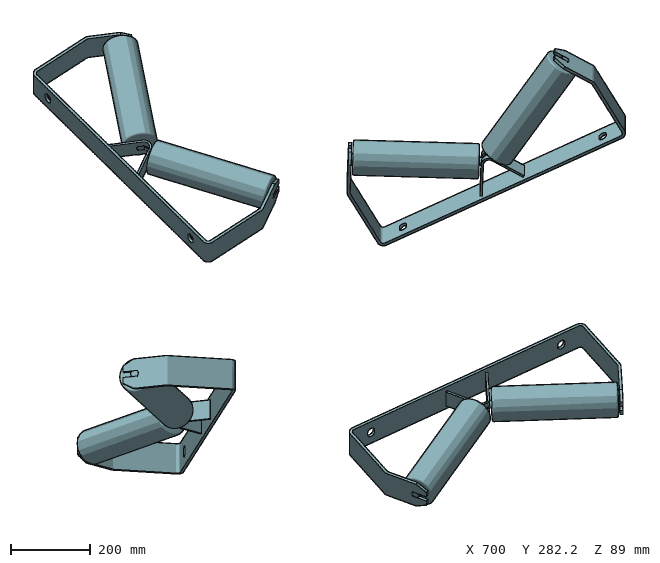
import cadquery as cq
import math


SLOPE = 30.0
LEAN_X = math.sin(math.radians(SLOPE))
LEAN_Y = math.cos(math.radians(SLOPE))
HALF_TURN = 180.0

FRAME_LENGTH = 700.0
FRAME_HEIGHT = 78.0
FRAME_THICKNESS = 8.0
FRAME_BEND_RADIUS = 8.5
ARM_BEND_Y = 178.5
ARM_TIP_Y = 278.0
TIP_CHAMFER_ALONG = 29.0
TIP_CHAMFER_ACROSS = 16.0
MOUNT_HOLE_SPACING = 565.5
MOUNT_HOLE_HEIGHT = 28.0
MOUNT_HOLE_WIDTH = 20.0

BRACKET_HEIGHT = 50.0
BRACKET_THICKNESS = 5.5
BRACKET_BEND_RADIUS = 14.0
BRACKET_PEAK_Y = 119.0

ROLLER_DIAMETER = 89.0
ROLLER_LENGTH = 316.0
ROLLER_EDGE_RADIUS = 5.0
ROLLER_X = 161.0
ROLLER_Y = 166.5
SHAFT_DIAMETER = 20.0
SHAFT_FLAT_WIDTH = 15.0

FRAME_HALF = FRAME_LENGTH / 2
ARM_OUTER_FACE = (FRAME_HALF - ROLLER_X) * LEAN_Y + (ARM_BEND_Y - ROLLER_Y) * LEAN_X
ARM_INNER_FACE = ARM_OUTER_FACE - FRAME_THICKNESS
BRACKET_OUTER_FACE = -ROLLER_X * LEAN_Y + (BRACKET_PEAK_Y - ROLLER_Y) * LEAN_X
BRACKET_INNER_FACE = BRACKET_OUTER_FACE - BRACKET_THICKNESS


def bent_strip(outer, inner, outer_radius, inner_radius, height):
    """Strip between two matching outlines, rounded at every corner but its ends."""
    strip = cq.Workplane("XY").polyline(outer + inner[::-1]).close().extrude(height / 2, both=True)
    for outline, radius in ((outer, outer_radius), (inner, inner_radius)):
        for x, y in outline[1:-1]:
            strip = strip.edges(cq.selectors.NearestToPointSelector((x, y, 0))).fillet(radius)
    return strip


def at_roller(body, side):
    """Move a body from the X axis onto the roller axis on the given side."""
    if side < 0:
        body = body.rotate((0, 0, 0), (0, 1, 0), HALF_TURN)
    return body.rotate((0, 0, 0), (0, 0, 1), side * SLOPE).translate((side * ROLLER_X, ROLLER_Y, 0))


def flatted_bar(start, end):
    """Round bar along X with a flat on its top and bottom."""
    length = end - start
    bar = cq.Workplane("YZ").workplane(offset=start).circle(SHAFT_DIAMETER / 2).extrude(length)
    flats = cq.Workplane("YZ").workplane(offset=start).rect(SHAFT_DIAMETER, SHAFT_FLAT_WIDTH).extrude(length)
    return bar.intersect(flats)


def shaft_slot(start, end):
    """Slot that seats the flatted shaft and stays open toward the +Y end of its plate."""
    reach = ROLLER_DIAMETER / 2
    channel = (
        cq.Workplane("YZ").workplane(offset=start)
        .center(reach / 2, 0).rect(reach, SHAFT_FLAT_WIDTH).extrude(end - start)
    )
    return flatted_bar(start, end).union(channel)


def tip_chamfer_cutters(side):
    """Wedges that take the top and bottom corners off an arm tip."""
    tip = (ARM_TIP_Y - ROLLER_Y) / LEAN_Y - ARM_OUTER_FACE * LEAN_X / LEAN_Y
    corner_z = FRAME_HEIGHT / 2
    wedge = (
        cq.Workplane("YZ").workplane(offset=ARM_INNER_FACE)
        .moveTo(tip - TIP_CHAMFER_ALONG, corner_z)
        .lineTo(tip, corner_z - TIP_CHAMFER_ACROSS)
        .lineTo(tip, corner_z)
        .close().extrude(FRAME_THICKNESS)
    )
    return at_roller(wedge.union(wedge.mirror("XY")), side)


def make_frame():
    """Bent strip with a slotted arm at each end and two mounting holes in its back."""
    tip_x = FRAME_HALF - (ARM_TIP_Y - ARM_BEND_Y) * LEAN_X / LEAN_Y
    bend_miter = FRAME_THICKNESS * math.tan(math.radians(SLOPE / 2))
    right_outer = [(FRAME_HALF, 0), (FRAME_HALF, ARM_BEND_Y), (tip_x, ARM_TIP_Y)]
    right_inner = [
        (FRAME_HALF - FRAME_THICKNESS, FRAME_THICKNESS),
        (FRAME_HALF - FRAME_THICKNESS, ARM_BEND_Y - bend_miter),
        (tip_x - FRAME_THICKNESS * LEAN_Y, ARM_TIP_Y - FRAME_THICKNESS * LEAN_X),
    ]
    outer = [(-x, y) for x, y in right_outer[::-1]] + right_outer
    inner = [(-x, y) for x, y in right_inner[::-1]] + right_inner
    outer_radius = FRAME_BEND_RADIUS + FRAME_THICKNESS
    frame = bent_strip(outer, inner, outer_radius, FRAME_BEND_RADIUS, FRAME_HEIGHT)

    for side in (-1, 1):
        frame = frame.cut(at_roller(shaft_slot(ARM_INNER_FACE, ARM_OUTER_FACE), side))
        frame = frame.cut(tip_chamfer_cutters(side))
        frame = frame.cut(mount_hole(side * MOUNT_HOLE_SPACING / 2))
    return frame


def mount_hole(x):
    """Upright round-ended slot through the back of the frame."""
    return (
        cq.Workplane("XZ").center(x, 0)
        .slot2D(MOUNT_HOLE_HEIGHT, MOUNT_HOLE_WIDTH, angle=90).extrude(-FRAME_THICKNESS)
    )


def make_bracket():
    """V-shaped strip that carries the inner shaft ends."""
    inner_peak_y = BRACKET_PEAK_Y - BRACKET_THICKNESS / LEAN_X
    foot_x = (inner_peak_y - FRAME_THICKNESS) * LEAN_X / LEAN_Y
    outer_foot_x = foot_x + BRACKET_THICKNESS * LEAN_Y
    outer_foot_y = FRAME_THICKNESS + BRACKET_THICKNESS * LEAN_X
    outer = [(-outer_foot_x, outer_foot_y), (0, BRACKET_PEAK_Y), (outer_foot_x, outer_foot_y)]
    inner = [(-foot_x, FRAME_THICKNESS), (0, inner_peak_y), (foot_x, FRAME_THICKNESS)]
    outer_radius = BRACKET_BEND_RADIUS + BRACKET_THICKNESS
    bracket = bent_strip(outer, inner, outer_radius, BRACKET_BEND_RADIUS, BRACKET_HEIGHT)
    for side in (-1, 1):
        bracket = bracket.cut(at_roller(shaft_slot(BRACKET_INNER_FACE, BRACKET_OUTER_FACE), side))
    return bracket.cut(bend_slot())


def bend_slot():
    """Opening over the bend that joins the slots of the two legs."""
    half_width = ROLLER_X + BRACKET_INNER_FACE * LEAN_Y
    bottom_y = ROLLER_Y + BRACKET_INNER_FACE * LEAN_X
    height = BRACKET_PEAK_Y - bottom_y
    opening = cq.Workplane("XY").box(2 * half_width, height, SHAFT_FLAT_WIDTH)
    return opening.translate((0, bottom_y + height / 2, 0))


def make_roller(side):
    """Roller with its shaft; the flatted shaft ends finish flush with the plates."""
    half_length = ROLLER_LENGTH / 2
    drum = (
        cq.Workplane("XY").moveTo(-half_length, 0)
        .lineTo(-half_length, -ROLLER_DIAMETER / 2)
        .lineTo(half_length, -ROLLER_DIAMETER / 2)
        .lineTo(half_length, 0)
        .close().revolve(axisStart=(0, 0, 0), axisEnd=(1, 0, 0))
        .faces("<X or >X").edges().fillet(ROLLER_EDGE_RADIUS)
    )
    shaft_length = ARM_INNER_FACE - BRACKET_OUTER_FACE
    shaft = (
        cq.Workplane("YZ").workplane(offset=BRACKET_OUTER_FACE)
        .circle(SHAFT_DIAMETER / 2).extrude(shaft_length)
    )
    roller = drum.union(shaft)
    roller = roller.union(flatted_bar(BRACKET_INNER_FACE, BRACKET_OUTER_FACE))
    roller = roller.union(flatted_bar(ARM_INNER_FACE, ARM_OUTER_FACE))
    return at_roller(roller, side)


frame = make_frame()
bracket = make_bracket()
rollers = [make_roller(side) for side in (-1, 1)]

result = cq.Compound.makeCompound([frame.val(), bracket.val(), *[roller.val() for roller in rollers]])